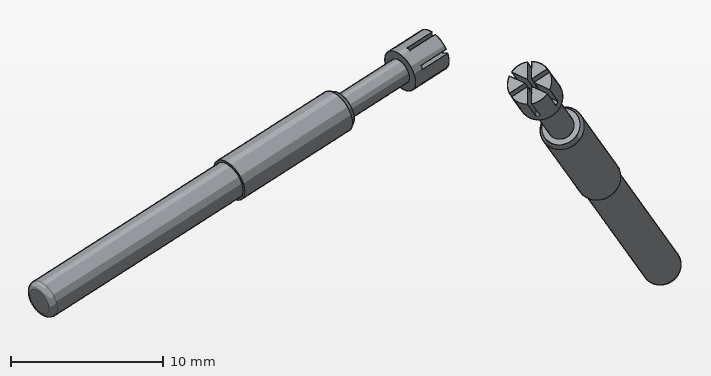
import cadquery as cq

TAIL_LENGTH = 17.0
TAIL_DIAMETER = 2.65
TAIL_END_FILLET = 0.4

BODY_LENGTH = 10.0
BODY_DIAMETER = 3.0
BODY_BEVEL_LENGTH = 0.35
BODY_BEVEL_DEPTH = 0.2

NECK_LENGTH = 5.3
NECK_DIAMETER = 1.8

HEAD_LENGTH = 3.0
HEAD_DIAMETER = BODY_DIAMETER

SLOT_COUNT = 6
SLOT_WIDTH = 0.3
SLOT_LENGTH = 2.25

NECK_START = BODY_LENGTH
HEAD_START = NECK_START + NECK_LENGTH
HEAD_END = HEAD_START + HEAD_LENGTH


def cylinder(diameter, start, length):
    """Cylinder on the Y axis, from y = start towards +Y."""
    plane = cq.Plane(origin=(0, start, 0), xDir=(1, 0, 0), normal=(0, 1, 0))
    return cq.Workplane(plane).circle(diameter / 2).extrude(length)


def make_tail():
    """Tail sleeve with a rounded free end."""
    tail = cylinder(TAIL_DIAMETER, -TAIL_LENGTH, TAIL_LENGTH)
    return tail.faces("<Y").edges().fillet(TAIL_END_FILLET)


def make_body():
    """Main barrel with a bevelled rim around the neck."""
    radius = BODY_DIAMETER / 2
    profile = [
        (0, 0),
        (radius, 0),
        (radius, BODY_LENGTH - BODY_BEVEL_LENGTH),
        (radius - BODY_BEVEL_DEPTH, BODY_LENGTH),
        (0, BODY_LENGTH),
    ]
    return cq.Workplane("XY").polyline(profile).close().revolve(360, (0, 0, 0), (0, 1, 0))


def make_head():
    """Crown head, split by slots that cross its axis from the free end."""
    head = cylinder(HEAD_DIAMETER, HEAD_START, HEAD_LENGTH)
    slot = cq.Workplane("XY").box(SLOT_WIDTH, SLOT_LENGTH, HEAD_DIAMETER)
    slot = slot.translate((0, HEAD_END - SLOT_LENGTH / 2, 0))
    for index in range(SLOT_COUNT // 2):
        angle = index * 360 / SLOT_COUNT
        head = head.cut(slot.rotate((0, 0, 0), (0, 1, 0), angle))
    return head


def make_neck():
    """Plain stem that joins the body to the head."""
    return cylinder(NECK_DIAMETER, NECK_START, NECK_LENGTH)


result = make_tail().union(make_body()).union(make_neck()).union(make_head())